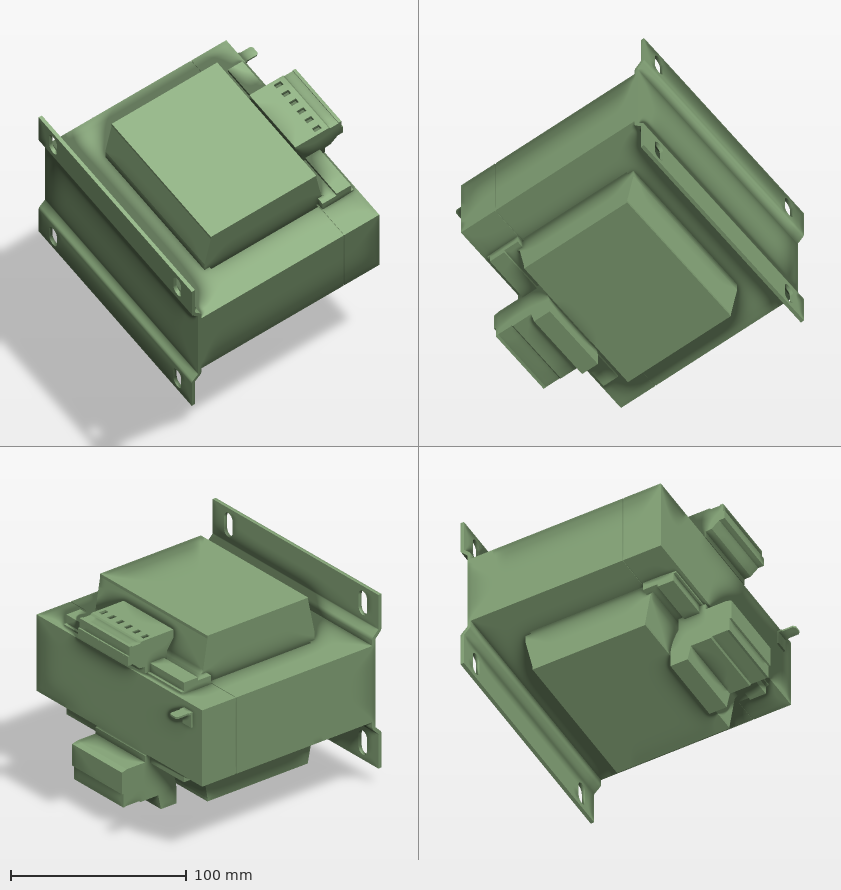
import cadquery as cq
import math


CORE_WIDTH = 150.0
CORE_HALF_HEIGHT = 24.6
CORE_FRONT_Y = 6.8
CORE_BACK_Y = 131.2
WINDOW_WIDTH = 100.5
WINDOW_FRONT_Y = 31.4
JOINT_FRONT_Y = 106.2
JOINT_WIDTH = 0.6
JOINT_DEPTH = 0.3

SHEET = 2.2
BRACKET_HALF_HEIGHT = 56.0
BEND_ANGLE = 45.0
FLANGE_BEND_Z = 32.8
INNER_BEND_RADIUS = 0.8
SLOT_X = 60.9
SLOT_Z = 45.0
SLOT_LENGTH = 15.3
SLOT_WIDTH = 7.5

COIL_WIDTH = 97.2
COIL_HALF_HEIGHT = 53.4
COIL_TOP_FRONT_Y = 32.2
COIL_TOP_BACK_Y = 106.0
COIL_BASE_FRONT_Y = 27.8
COIL_BASE_BACK_Y = 109.2
COIL_RIM = 2.0
COIL_TOE_Y = 111.3
COIL_TOE_HEIGHT = 2.2

RAIL_WIDTH = 106.5
RAIL_FRONT_Y = 107.1
RAIL_STEP_Y = 116.8
RAIL_BACK_Y = 127.0
RAIL_LIP_Y = 128.8
RAIL_SHELF_Z = 30.2
RAIL_TOP_Z = 32.1
RAIL_LIP_Z = 26.5
RAIL_RELIEF_Y = 118.5
RAIL_RELIEF = 0.8

TERMINAL_WIDTH = 45.0
CLIP_BACK_Y = 130.6
CLIP_TOP_Z = 30.8
UPPER_TOP_Z = 48.0
UPPER_STRIP_Z = 47.0
UPPER_RIDGE_Z = 47.5
UPPER_LEDGE_Z = 41.5
UPPER_CHIN_Z = 35.5
UPPER_NECK_Y = 114.5
UPPER_FRONT_Y = 110.0
UPPER_RIDGE_Y = 140.2
UPPER_LEDGE_FRONT_Y = 142.2
UPPER_LEDGE_BACK_Y = 143.2
LOWER_NECK_Y = 113.1
LOWER_FRONT_Y = 107.7
LOWER_BACK_Y = 147.6
LOWER_STEP_Y = 146.4
LOWER_STEP_Z = -45.8
LOWER_STRIP_Z = -54.3
LOWER_FACE_Z = -55.2
LOWER_FOOT_Z = -64.8
POLE_COUNT = 6
POLE_PITCH = TERMINAL_WIDTH / POLE_COUNT
OPENING_WIDTH = 3.0
OPENING_LENGTH = 4.8
OPENING_Y = 127.6
OPENING_DEPTH = 2.2
NOTCH_WIDTH = 0.3
NOTCH_DEPTH = 0.6

TAB_X = -62.5
TAB_SHEET = 1.2
TAB_TOP_Z = 20.0
TAB_FOOT_Z = 10.2
TAB_BASE_WIDTH = 7.8
TAB_BLADE_WIDTH = 6.8
TAB_SHOULDER_Y = 134.4
TAB_TIP_Y = 142.6
TAB_TIP_CHAMFER = 1.2


def box(width, y_range, z_range, x_centre=0.0):
    """Box of a given X width between two Y values and two Z values."""
    y0, y1 = y_range
    z0, z1 = z_range
    corner = (x_centre - width / 2, y0, z0)
    return cq.Workplane("XY").box(width, y1 - y0, z1 - z0, centered=False).translate(corner)


def extrude_across(outline, width):
    """Extrude a closed YZ outline along X, centred on X = 0."""
    return outline.close().extrude(width / 2, both=True)


def make_core():
    full_height = (-CORE_HALF_HEIGHT, CORE_HALF_HEIGHT)
    joint = (JOINT_FRONT_Y, JOINT_FRONT_Y + JOINT_WIDTH)
    core = box(CORE_WIDTH, (CORE_FRONT_Y, CORE_BACK_Y), full_height)
    core = core.cut(box(WINDOW_WIDTH, (WINDOW_FRONT_Y, JOINT_FRONT_Y), full_height))
    inner_half_height = CORE_HALF_HEIGHT - JOINT_DEPTH
    ring = box(CORE_WIDTH, joint, full_height)
    ring = ring.cut(box(CORE_WIDTH - 2 * JOINT_DEPTH, joint, (-inner_half_height, inner_half_height)))
    return core.cut(ring)


def make_bracket():
    web_y = CORE_FRONT_Y - SHEET
    web_bend_z = FLANGE_BEND_Z - web_y / math.tan(math.radians(BEND_ANGLE))
    back_shift = SHEET * math.tan(math.radians(BEND_ANGLE / 2))
    front_face = [(0, BRACKET_HALF_HEIGHT), (0, FLANGE_BEND_Z), (web_y, web_bend_z)]
    back_face = [
        (CORE_FRONT_Y, web_bend_z + back_shift),
        (SHEET, FLANGE_BEND_Z + back_shift),
        (SHEET, BRACKET_HALF_HEIGHT),
    ]
    upper_half = front_face + [(web_y, 0), (CORE_FRONT_Y, 0)] + back_face
    half = extrude_across(cq.Workplane("YZ").polyline(upper_half), CORE_WIDTH)

    def round_bend(body, point, radius):
        return body.edges(cq.selectors.NearestToPointSelector((0, *point))).fillet(radius)

    outer_bend_radius = INNER_BEND_RADIUS + SHEET
    half = round_bend(half, front_face[1], outer_bend_radius)
    half = round_bend(half, front_face[2], INNER_BEND_RADIUS)
    half = round_bend(half, back_face[0], outer_bend_radius)
    half = round_bend(half, back_face[1], INNER_BEND_RADIUS)

    bracket = half.union(half.mirror("XY"))
    slots = (
        cq.Workplane("XZ")
        .rarray(2 * SLOT_X, 2 * SLOT_Z, 2, 2)
        .slot2D(SLOT_LENGTH, SLOT_WIDTH, 90)
        .extrude(-SHEET)
    )
    return bracket.cut(slots)


def make_coil():
    rim_z = COIL_HALF_HEIGHT - COIL_RIM
    upper_outline = (
        cq.Workplane("YZ")
        .moveTo(COIL_BASE_FRONT_Y, CORE_HALF_HEIGHT)
        .lineTo(COIL_BASE_FRONT_Y, RAIL_SHELF_Z)
        .lineTo(COIL_TOP_FRONT_Y, rim_z)
        .lineTo(COIL_TOP_FRONT_Y, COIL_HALF_HEIGHT)
        .lineTo(COIL_TOP_BACK_Y, COIL_HALF_HEIGHT)
        .lineTo(COIL_TOP_BACK_Y, rim_z)
        .lineTo(COIL_BASE_BACK_Y, RAIL_SHELF_Z + COIL_TOE_HEIGHT)
        .tangentArcPoint((COIL_TOE_Y, RAIL_SHELF_Z), relative=False)
        .lineTo(COIL_TOE_Y, CORE_HALF_HEIGHT)
    )
    upper = extrude_across(upper_outline, COIL_WIDTH)
    middle = box(COIL_WIDTH, (WINDOW_FRONT_Y, JOINT_FRONT_Y), (-CORE_HALF_HEIGHT, CORE_HALF_HEIGHT))
    return middle.union(upper).union(upper.mirror("XY"))


def make_upper_rail():
    outline = cq.Workplane("YZ").polyline([
        (RAIL_FRONT_Y, CORE_HALF_HEIGHT),
        (RAIL_FRONT_Y, RAIL_SHELF_Z),
        (RAIL_STEP_Y, RAIL_SHELF_Z),
        (RAIL_STEP_Y, RAIL_TOP_Z),
        (RAIL_BACK_Y, RAIL_TOP_Z),
        (RAIL_BACK_Y, RAIL_LIP_Z),
        (RAIL_LIP_Y, RAIL_LIP_Z),
        (RAIL_LIP_Y, CORE_HALF_HEIGHT + RAIL_RELIEF),
        (RAIL_RELIEF_Y, CORE_HALF_HEIGHT),
    ])
    return extrude_across(outline, RAIL_WIDTH)


def make_upper_terminal():
    outline = cq.Workplane("YZ").polyline([
        (UPPER_NECK_Y, RAIL_LIP_Z),
        (UPPER_NECK_Y, 36.2),
        (UPPER_FRONT_Y, 42.8),
        (UPPER_FRONT_Y, UPPER_TOP_Z),
        (133.4, UPPER_TOP_Z),
        (134.4, UPPER_STRIP_Z),
        (UPPER_RIDGE_Y, UPPER_STRIP_Z),
        (UPPER_RIDGE_Y, UPPER_RIDGE_Z),
        (UPPER_LEDGE_FRONT_Y, UPPER_RIDGE_Z),
        (UPPER_LEDGE_FRONT_Y, UPPER_LEDGE_Z),
        (UPPER_LEDGE_BACK_Y, UPPER_LEDGE_Z),
        (UPPER_LEDGE_BACK_Y, UPPER_CHIN_Z),
        (139.6, UPPER_CHIN_Z),
        (134.7, 31.2),
        (CLIP_BACK_Y, CLIP_TOP_Z),
        (CLIP_BACK_Y, RAIL_LIP_Z),
    ])
    terminal = extrude_across(outline, TERMINAL_WIDTH)
    opening_y = (OPENING_Y - OPENING_LENGTH / 2, OPENING_Y + OPENING_LENGTH / 2)
    for pole in range(POLE_COUNT):
        pole_x = (pole - (POLE_COUNT - 1) / 2) * POLE_PITCH
        opening = box(OPENING_WIDTH, opening_y, (UPPER_TOP_Z - OPENING_DEPTH, UPPER_TOP_Z), pole_x)
        notch = box(
            NOTCH_WIDTH,
            (UPPER_LEDGE_FRONT_Y, UPPER_LEDGE_BACK_Y),
            (UPPER_LEDGE_Z - NOTCH_DEPTH, UPPER_LEDGE_Z),
            pole_x,
        )
        terminal = terminal.cut(opening).cut(notch)
    return terminal


def make_lower_terminal():
    outline = (
        cq.Workplane("YZ")
        .moveTo(LOWER_NECK_Y, -RAIL_LIP_Z)
        .lineTo(CLIP_BACK_Y, -RAIL_LIP_Z)
        .lineTo(CLIP_BACK_Y, -CLIP_TOP_Z)
        .lineTo(144.0, -CLIP_TOP_Z)
        .lineTo(LOWER_BACK_Y, -31.8)
        .lineTo(LOWER_BACK_Y, LOWER_STEP_Z)
        .lineTo(LOWER_STEP_Y, LOWER_STEP_Z)
        .lineTo(LOWER_STEP_Y, -54.8)
        .lineTo(144.8, LOWER_STRIP_Z)
        .lineTo(135.0, LOWER_STRIP_Z)
        .lineTo(134.1, LOWER_FACE_Z)
        .lineTo(121.0, LOWER_FACE_Z)
        .lineTo(119.0, LOWER_FOOT_Z)
        .lineTo(LOWER_FRONT_Y, LOWER_FOOT_Z)
        .lineTo(LOWER_FRONT_Y, -54.6)
        .threePointArc((109.4, -46.4), (LOWER_NECK_Y, -38.5))
    )
    return extrude_across(outline, TERMINAL_WIDTH)


def make_earth_tab():
    blade_z = (TAB_TOP_Z - TAB_SHEET, TAB_TOP_Z)
    foot_y = (CORE_BACK_Y, CORE_BACK_Y + TAB_SHEET)
    foot = box(TAB_BASE_WIDTH, foot_y, (TAB_FOOT_Z, TAB_TOP_Z), TAB_X)
    base = box(TAB_BASE_WIDTH, (CORE_BACK_Y, TAB_SHOULDER_Y), blade_z, TAB_X)
    blade = box(TAB_BLADE_WIDTH, (CORE_BACK_Y, TAB_TIP_Y), blade_z, TAB_X)
    blade = blade.faces(">Y").edges("|Z").chamfer(TAB_TIP_CHAMFER)
    return foot.union(base).union(blade)


upper_rail = make_upper_rail()
result = (
    make_core()
    .union(make_bracket())
    .union(make_coil())
    .union(upper_rail)
    .union(upper_rail.mirror("XY"))
    .union(make_upper_terminal())
    .union(make_lower_terminal())
    .union(make_earth_tab())
)